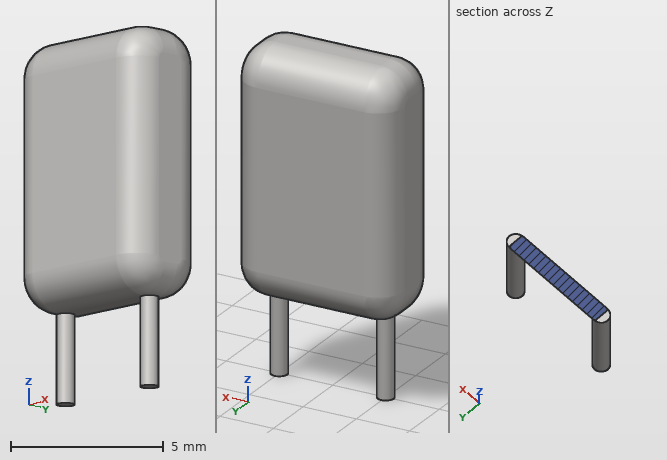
import cadquery as cq

total_height = 12.0
body_width = 6.0
body_depth = 3.0
lead_length = 3.0
lead_diameter = 0.6

body_height = total_height - lead_length
long_edge_radius = 1.2
end_edge_radius = body_depth / 3
lead_spacing = body_width - 2 * end_edge_radius


def make_body():
    """Rounded block: the long edges are rounded first, then the rim of each end face."""
    block = cq.Workplane("XY").box(body_width, body_depth, body_height, centered=(True, True, False))
    block = block.edges("|X").fillet(long_edge_radius)
    block = block.faces("<X or >X").edges().fillet(end_edge_radius)
    return block.solids().translate((0, 0, lead_length))


def make_lead(x_position):
    """Straight round lead whose flat upper end touches the underside of the body."""
    return cq.Workplane("XY").center(x_position, 0).circle(lead_diameter / 2).extrude(lead_length)


body = make_body()
leads = [make_lead(side * lead_spacing / 2) for side in (-1, 1)]

result = cq.Compound.makeCompound([body.val(), *[lead.val() for lead in leads]])